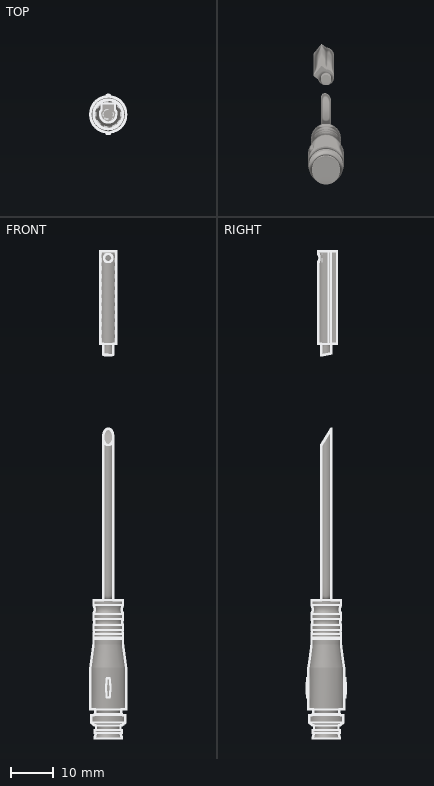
import cadquery as cq

total_height = 114.7

body_radius = 4.2
ring_radius = 3.5
groove_depth_per_width = 0.14
neck_radius = 3.1
neck_chamfer = 0.3
collar_radius = 4.0
plug_radius = 3.27
plug_groove_radius = 2.92
groove_bottom = 1.4
groove_top = 2.1
plug_top = 3.1
collar_bottom = 3.8
collar_top = 5.5
body_bottom = 6.9
body_top = 16.6
taper_top = 22.1
handle_top = 32.6
lowest_ring_top = 23.4
ring_bands = [(23.7, 24.7), (25.6, 26.7), (28.1, 29.4), (31.4, handle_top)]

key_width = 1.0
key_length = 4.6
key_center_z = 11.9
key_rise = 0.4
key_end_radius = 0.3

rod_radius = 1.2
rod_tip_z = 73.0
rod_slant_height = 3.9

barrel_radius = 1.89
barrel_bottom = 92.9
rail_half_width = 1.55
rail_back = 2.58
shoulder_start = 0.6
shoulder_end = 1.1
pin_bottom = 90.2
pin_slant_height = 0.5
dimple_diameter = 2.0
dimple_depth = 0.9
dimple_drop = 1.6


def make_grip():
    """Turned handle; concave grooves separate the rings above the taper."""
    outline = (
        cq.Workplane("XZ")
        .polyline([
            (0, 0),
            (plug_radius, 0),
            (plug_groove_radius, groove_bottom),
            (plug_radius, groove_bottom),
            (plug_radius, groove_top),
            (plug_groove_radius, groove_top),
            (plug_groove_radius, plug_top),
            (plug_radius, plug_top),
            (collar_radius, collar_bottom),
            (collar_radius, collar_top),
            (neck_radius + neck_chamfer, collar_top),
            (neck_radius, collar_top + neck_chamfer),
            (neck_radius, body_bottom),
            (body_radius, body_bottom),
            (body_radius, body_top),
            (ring_radius, taper_top),
            (ring_radius, lowest_ring_top),
        ])
    )
    groove_start = lowest_ring_top
    for band_bottom, band_top in ring_bands:
        groove_depth = groove_depth_per_width * (band_bottom - groove_start)
        groove_middle = (ring_radius - groove_depth, (groove_start + band_bottom) / 2)
        outline = (
            outline
            .threePointArc(groove_middle, (ring_radius, band_bottom))
            .lineTo(ring_radius, band_top)
        )
        groove_start = band_top
    return outline.lineTo(0, handle_top).close().revolve(360, (0, 0, 0), (0, 1, 0))


def make_key(side):
    """Upright barrel-shaped key, half sunk in the handle; side is -1 or 1 along Y."""
    mid_radius = key_width / 2
    half_length = key_length / 2
    axis_y = side * (body_radius + key_rise - mid_radius)
    return (
        cq.Workplane("XZ", origin=(0, axis_y, key_center_z))
        .moveTo(0, -half_length)
        .lineTo(key_end_radius, -half_length)
        .threePointArc((mid_radius, 0), (key_end_radius, half_length))
        .lineTo(0, half_length)
        .close()
        .revolve(360, (0, 0, 0), (0, 1, 0))
    )


def make_rod():
    """Rod whose end slants up toward +Y."""
    return (
        cq.Workplane("YZ")
        .polyline([
            (-rod_radius, handle_top),
            (rod_radius, handle_top),
            (rod_radius, rod_tip_z),
            (-rod_radius, rod_tip_z - rod_slant_height),
        ])
        .close()
        .extrude(rod_radius, both=True)
        .intersect(make_cylinder(rod_radius, handle_top, rod_tip_z))
    )


def make_cylinder(radius, bottom, top):
    return cq.Workplane("XY").workplane(offset=bottom).circle(radius).extrude(top - bottom)


def make_handle():
    body = make_grip().union(make_rod())
    for side in (-1, 1):
        body = body.union(make_key(side))
    return body


def make_barrel():
    """Half-round bar with a narrower square rail at the back."""
    return (
        cq.Workplane("XY")
        .workplane(offset=barrel_bottom)
        .moveTo(-barrel_radius, 0)
        .threePointArc((0, -barrel_radius), (barrel_radius, 0))
        .lineTo(barrel_radius, shoulder_start)
        .lineTo(rail_half_width, shoulder_end)
        .lineTo(rail_half_width, rail_back)
        .lineTo(-rail_half_width, rail_back)
        .lineTo(-rail_half_width, shoulder_end)
        .lineTo(-barrel_radius, shoulder_start)
        .close()
        .extrude(total_height - barrel_bottom)
    )


def make_pin():
    """Pin under the barrel; its end slants up toward +Y."""
    slanted = (
        cq.Workplane("YZ")
        .polyline([
            (-rod_radius, pin_bottom),
            (rod_radius, pin_bottom + pin_slant_height),
            (rod_radius, barrel_bottom),
            (-rod_radius, barrel_bottom),
        ])
        .close()
        .extrude(rod_radius, both=True)
    )
    return slanted.intersect(make_cylinder(rod_radius, pin_bottom, barrel_bottom))


def make_tip():
    dimple = (
        cq.Workplane("XZ", origin=(0, -barrel_radius + dimple_depth, total_height - dimple_drop))
        .circle(dimple_diameter / 2)
        .extrude(2 * dimple_depth)
    )
    return make_barrel().union(make_pin()).cut(dimple)


handle = make_handle()
tip = make_tip()

result = cq.Compound.makeCompound([handle.val(), tip.val()])